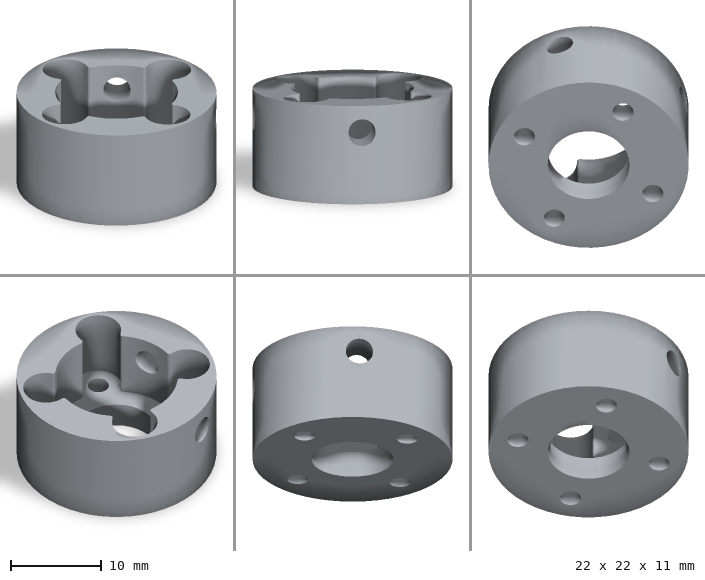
import cadquery as cq

outer_diameter = 22.0
height = outer_diameter / 2
bore_diameter = 9.0

floor_thickness = 3.0
pocket_depth = height - floor_thickness
recess_diameter = 13.5
lobe_diameter = 5.02
lobe_offset = 8.0
neck_fillet = 0.3

screw_hole_diameter = 2.3
lobe_count = 4

radial_hole_diameter = 3.0
radial_hole_height = height - radial_hole_diameter
radial_hole_angles = (45, 135)


def make_pocket():
    """Solid to cut away: recess and lobes, with rounded necks where they meet."""
    recess = cq.Workplane("XY", origin=(0, 0, floor_thickness)).circle(recess_diameter / 2)
    recess = recess.extrude(pocket_depth)
    lobes = (
        cq.Workplane("XY", origin=(0, 0, floor_thickness))
        .polarArray(lobe_offset, 0, 360, lobe_count)
        .circle(lobe_diameter / 2)
        .extrude(pocket_depth)
    )
    pocket = recess.union(lobes)
    return pocket.edges("|Z").edges(neck_edges()).fillet(neck_fillet)


def neck_edges():
    """Select the vertical edges where lobes meet the recess, leaving out the seams on the X and Y axes."""
    reach = outer_diameter / 2
    seam_clearance = 0.22
    selector = None
    for x_sign in (-1, 1):
        for y_sign in (-1, 1):
            near = (x_sign * seam_clearance, y_sign * seam_clearance, 0)
            far = (x_sign * reach, y_sign * reach, height)
            box = cq.selectors.BoxSelector(near, far)
            selector = box if selector is None else selector + box
    return selector


def make_radial_hole(angle):
    """Horizontal cylinder running outward from the axis at the given angle."""
    drill = cq.Workplane("YZ", origin=(0, 0, radial_hole_height))
    drill = drill.circle(radial_hole_diameter / 2).extrude(outer_diameter)
    return drill.rotate((0, 0, 0), (0, 0, 1), angle)


body = cq.Workplane("XY").circle(outer_diameter / 2).extrude(height)
body = body.cut(make_pocket())

bore = cq.Workplane("XY").circle(bore_diameter / 2).extrude(height)
body = body.cut(bore)

screw_holes = (
    cq.Workplane("XY")
    .polarArray(lobe_offset, 0, 360, lobe_count)
    .circle(screw_hole_diameter / 2)
    .extrude(height)
)
body = body.cut(screw_holes)

for hole_angle in radial_hole_angles:
    body = body.cut(make_radial_hole(hole_angle))

result = body